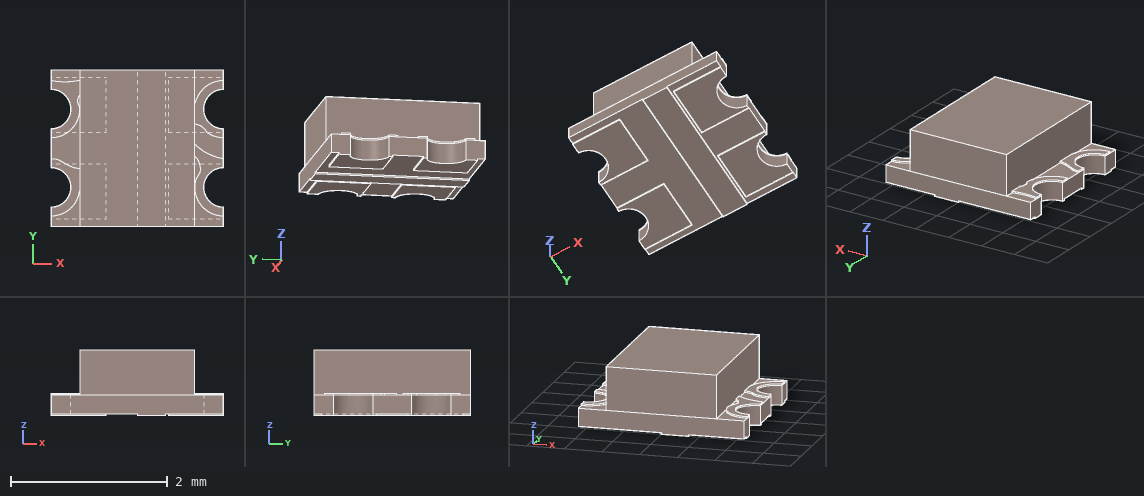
import cadquery as cq
import math

length = 2.2
width = 2.0
height = 0.84

pad_thickness = 0.02
board_thickness = 0.242
board_top = pad_thickness + board_thickness

housing_length = 1.465

notch_radius = 0.25
notch_offset_y = 0.5
ring_radius = 0.365

bottom_pad_length = 0.7
bottom_pad_inner_y = 0.2
bottom_pad_outer_y = 0.9
polarity_bar_length = 0.36

end_x = length / 2
wall_x = housing_length / 2
corners = [(side_x, side_y) for side_x in (-1, 1) for side_y in (-1, 1)]

FRONT_END = -90
BACK_END = 90


def notch_cutter(side_x, side_y):
    """Upright cylinder that cuts one notch through the full height."""
    return (
        cq.Workplane("XY")
        .center(side_x * end_x, side_y * notch_offset_y)
        .circle(notch_radius)
        .extrude(height)
    )




def bottom_pad(side_x, side_y):
    """Rectangular solder pad on the underside, around one notch."""
    center_x = side_x * (end_x - bottom_pad_length / 2)
    center_y = side_y * (bottom_pad_inner_y + bottom_pad_outer_y) / 2
    return (
        cq.Workplane("XY")
        .center(center_x, center_y)
        .rect(bottom_pad_length, bottom_pad_outer_y - bottom_pad_inner_y)
        .extrude(pad_thickness)
    )


def polarity_bar():
    """Raised bar across the underside, from the middle towards +X."""
    return cq.Workplane("XY").box(
        polarity_bar_length, width, pad_thickness, centered=(False, True, False)
    )


def make_board():
    """Notched board with solder pads and a polarity bar standing out of its underside."""
    board = (
        cq.Workplane("XY")
        .workplane(offset=pad_thickness)
        .rect(length, width)
        .extrude(board_thickness)
        .union(polarity_bar())
    )
    for side_x, side_y in corners:
        board = board.union(bottom_pad(side_x, side_y))
    for side_x, side_y in corners:
        board = board.cut(notch_cutter(side_x, side_y))
    return board




def make_housing():
    """Plain block on top of the board, as wide as the board."""
    return (
        cq.Workplane("XY")
        .workplane(offset=board_top)
        .rect(housing_length, width)
        .extrude(height - board_top)
    )




def ring_point(side_x, side_y, angle):
    """Point on the ring around a notch; 0 degrees faces the housing, 90 degrees faces +Y."""
    turn = math.radians(angle)
    x = side_x * (end_x - ring_radius * math.cos(turn))
    y = side_y * notch_offset_y + ring_radius * math.sin(turn)
    return (x, y)


def start_top_pad(side, start_angle, leave_angle):
    """Begin an outline with the ring's arc, from the board's end to where the edge leaves it."""
    middle_angle = (start_angle + leave_angle) / 2
    return (
        cq.Workplane("XY")
        .workplane(offset=board_top)
        .moveTo(*ring_point(*side, start_angle))
        .threePointArc(ring_point(*side, middle_angle), ring_point(*side, leave_angle))
    )


def finish_top_pad(outline, side):
    """Extrude a pad outline, closed along the board's end, and cut the notch out of it."""
    return outline.close().extrude(pad_thickness).cut(notch_cutter(*side))


def make_left_back_pad():
    """Pad whose ring hooks back into a lead at the housing wall."""
    side = (-1, 1)
    leave_angle = 5
    lead_front_y = 0.678
    lead_back_y = 0.867
    hook = (-0.76, 0.625)
    back_edge_dip = (-0.878, 0.847)
    outline = (
        start_top_pad(side, FRONT_END, leave_angle)
        .spline([hook, (-wall_x, lead_front_y)], includeCurrent=True)
        .lineTo(-wall_x, lead_back_y)
        .spline([back_edge_dip, ring_point(*side, BACK_END)], includeCurrent=True)
    )
    return finish_top_pad(outline, side)


def make_left_front_pad():
    """Pad with an S-shaped back edge."""
    side = (-1, -1)
    leave_angle = -10
    lead_front_y = -0.543
    lead_back_y = -0.257
    back_edge = [(-0.86, -0.227), (-0.95, -0.178)]
    outline = (
        start_top_pad(side, FRONT_END, leave_angle)
        .lineTo(-wall_x, lead_front_y)
        .lineTo(-wall_x, lead_back_y)
        .spline(
            [*back_edge, ring_point(*side, BACK_END)],
            tangents=[(-1, 0), (-1, 0)],
            includeCurrent=True,
        )
    )
    return finish_top_pad(outline, side)


def make_right_back_pad():
    """Pad whose front edge follows the ring, then eases off it towards the housing wall."""
    side = (1, 1)
    leave_angle = 20
    return_angle = -55
    middle_angle = (return_angle + FRONT_END) / 2
    lead_back_y = 0.572
    lead_front_y = 0.31
    front_edge_bend = (0.825, 0.275)
    outline = (
        start_top_pad(side, BACK_END, leave_angle)
        .lineTo(wall_x, lead_back_y)
        .lineTo(wall_x, lead_front_y)
        .spline([front_edge_bend, ring_point(*side, return_angle)], includeCurrent=True)
        .threePointArc(ring_point(*side, middle_angle), ring_point(*side, FRONT_END))
    )
    return finish_top_pad(outline, side)


def make_right_front_pad():
    """Pad with a neck that curves from the ring towards the middle of the housing wall."""
    side = (1, -1)
    leave_angle = 10
    lead_front_y = -0.101
    lead_back_y = 0.053
    neck = [(0.77, -0.36), (0.803, -0.297), (0.803, -0.235), (0.78, -0.163)]
    back_edge_middle = (0.86, -0.046)
    outline = (
        start_top_pad(side, FRONT_END, leave_angle)
        .spline([*neck, (wall_x, lead_front_y)], includeCurrent=True)
        .lineTo(wall_x, lead_back_y)
        .threePointArc(back_edge_middle, ring_point(*side, BACK_END))
    )
    return finish_top_pad(outline, side)



board = make_board()
housing = make_housing()
left_back_pad = make_left_back_pad()
left_front_pad = make_left_front_pad()
right_back_pad = make_right_back_pad()
right_front_pad = make_right_front_pad()

result = cq.Compound.makeCompound(
    [
        board.val(),
        housing.val(),
        left_back_pad.val(),
        left_front_pad.val(),
        right_back_pad.val(),
        right_front_pad.val(),
    ]
)